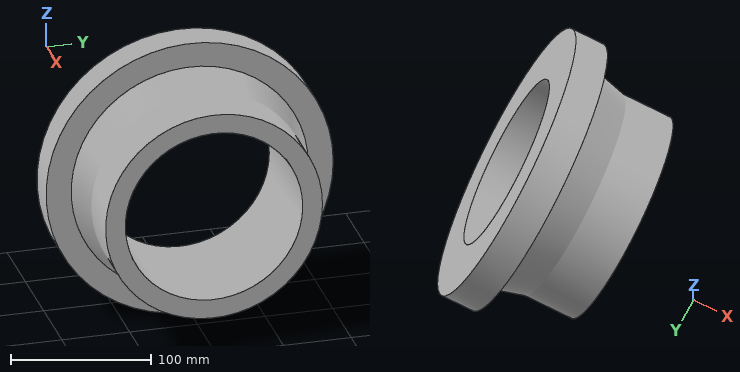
import cadquery as cq

total_length = 92.0
flange_diameter = 212.0
flange_thickness = 25.5
shoulder_diameter = 175.0
taper_length = 28.5
pipe_diameter = 160.0
pipe_wall = 14.6

flange_radius = flange_diameter / 2
shoulder_radius = shoulder_diameter / 2
pipe_radius = pipe_diameter / 2
bore_radius = pipe_radius - pipe_wall
taper_end = flange_thickness + taper_length


def stub_flange():
    """Half section of the wall (X along the axis, Y as radius), revolved a full turn."""
    section = (
        cq.Workplane("XY")
        .moveTo(0, bore_radius)
        .lineTo(0, flange_radius)
        .lineTo(flange_thickness, flange_radius)
        .lineTo(flange_thickness, shoulder_radius)
        .lineTo(taper_end, pipe_radius)
        .lineTo(total_length, pipe_radius)
        .lineTo(total_length, bore_radius)
        .close()
    )
    return section.revolve(360, (0, 0, 0), (1, 0, 0))


result = stub_flange()